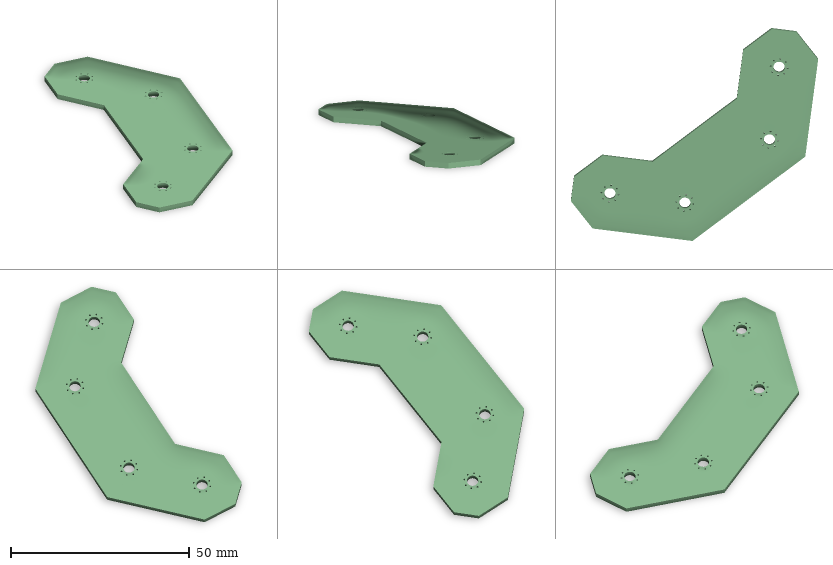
import cadquery as cq

length = 80.0
thickness = 1.6
center_hole_diameter = 3.2
screw_hole_diameter = 0.5
screw_circle_diameter = 4.8
screw_count = 8

step = length / 16
half_length = length / 2
depth = 7 * step

notch_half_width = 3 * step
notch_depth = 2 * step
foot_chamfer = step
foot_width = 2 * step
shoulder_chamfer = 4 * step
foot_outer_x = half_length - foot_chamfer
foot_inner_x = foot_outer_x - foot_width

right_half = [
    (notch_half_width, notch_depth),
    (foot_inner_x, 0),
    (foot_outer_x, 0),
    (half_length, foot_chamfer),
    (half_length, depth - shoulder_chamfer),
    (half_length - shoulder_chamfer, depth),
]
left_half = [(-x, y) for x, y in reversed(right_half)]

plate = cq.Workplane("XY").polyline(right_half + left_half).close().extrude(thickness)

edge_distance = 2 * step
foot_mount_x = half_length - edge_distance
back_mount_x = 3 * step
mount_centers = [
    (-foot_mount_x, edge_distance),
    (-back_mount_x, depth - edge_distance),
    (back_mount_x, depth - edge_distance),
    (foot_mount_x, edge_distance),
]


def mount_cutter(center):
    """Center hole and its ring of small screw holes, through the plate."""
    base = cq.Workplane("XY").center(*center)
    center_hole = base.circle(center_hole_diameter / 2).extrude(thickness)
    screw_holes = (
        base.polarArray(screw_circle_diameter / 2, 0, 360, screw_count)
        .circle(screw_hole_diameter / 2)
        .extrude(thickness)
    )
    return center_hole.add(screw_holes).combine()


result = plate
for mount_center in mount_centers:
    result = result.cut(mount_cutter(mount_center))